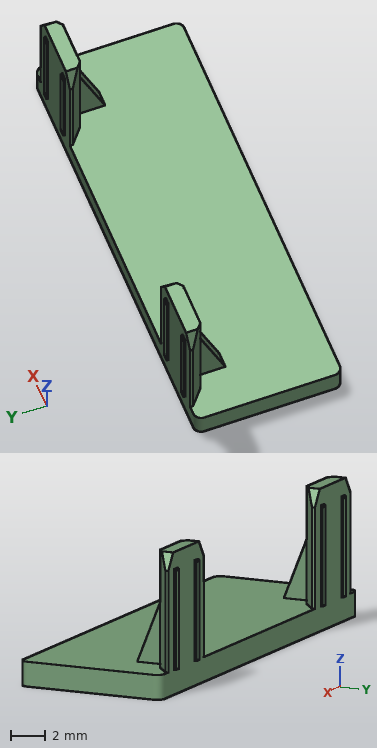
import cadquery as cq

plate_length = 26.2
plate_depth = 9.2
plate_thickness = 1.5
corner_radius = 0.5

total_height = 8.55
clip_height = total_height - plate_thickness
clip_offset = 9.75
clip_width = 4.75
clip_front_width = 2.75
clip_thickness = 1.02
clip_side_wall = 0.18
corner_cut_width = 0.65
corner_cut_height = 1.0

rib_width = 1.0
rib_height = 4.75
rib_reach = 1.9

total_depth = 9.3
ridge_height = 6.03
ridge_projection = total_depth - plate_depth
ridge_width = 0.45
ridge_offset = 1.35


def make_plate():
    return (
        cq.Workplane("XY")
        .box(plate_length, plate_depth, plate_thickness, centered=(True, True, False))
        .translate((0, -plate_depth / 2, 0))
        .edges("|Z")
        .fillet(corner_radius)
    )


def make_clip_body():
    """Upright with slanted flanks and both top corners cut off."""
    half_width = clip_width / 2
    half_front = clip_front_width / 2
    body = (
        cq.Workplane("XY")
        .polyline([
            (-half_width, 0),
            (-half_width, -clip_side_wall),
            (-half_front, -clip_thickness),
            (half_front, -clip_thickness),
            (half_width, -clip_side_wall),
            (half_width, 0),
        ])
        .close()
        .extrude(clip_height)
    )
    silhouette = (
        cq.Workplane("XZ")
        .polyline([
            (-half_width, 0),
            (half_width, 0),
            (half_width, clip_height - corner_cut_height),
            (half_width - corner_cut_width, clip_height),
            (corner_cut_width - half_width, clip_height),
            (-half_width, clip_height - corner_cut_height),
        ])
        .close()
        .extrude(clip_thickness)
    )
    return body.intersect(silhouette)


def make_rib():
    return (
        cq.Workplane("YZ")
        .polyline([
            (-clip_thickness, 0),
            (-clip_thickness - rib_reach, 0),
            (-clip_thickness, rib_height),
        ])
        .close()
        .extrude(rib_width / 2, both=True)
    )


def make_ridge(x_position):
    """Upright ridge on the clip's rear face, with its top sloping down to the rear."""
    return (
        cq.Workplane("YZ")
        .polyline([
            (0, 0),
            (ridge_projection, 0),
            (ridge_projection, ridge_height - ridge_projection),
            (0, ridge_height),
        ])
        .close()
        .extrude(ridge_width / 2, both=True)
        .translate((x_position, 0, 0))
    )


def make_clip():
    clip = make_clip_body().union(make_rib())
    for side in (-1, 1):
        clip = clip.union(make_ridge(side * ridge_offset))
    return clip


result = make_plate()
for clip_side in (-1, 1):
    result = result.union(make_clip().translate((clip_side * clip_offset, 0, plate_thickness)))